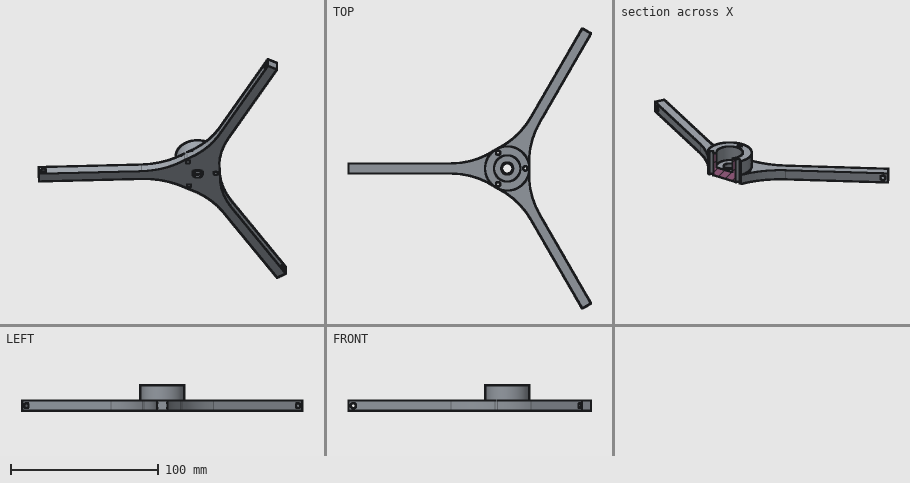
import cadquery as cq
import math

arm_count = 3
overall_span = 190.5
arm_width = 7.0
arm_height = 7.0
arm_step = 360 / arm_count
half_step = math.radians(arm_step / 2)
half_width = arm_width / 2
arm_length = (overall_span / 2 - half_width * math.cos(half_step)) / math.sin(half_step)

flare_start = 38.1

hub_diameter = 30.1
hub_radius = hub_diameter / 2
hub_height = 17.5
bore_diameter = 18.0
bore_floor = arm_height
seat_diameter = 8.2
seat_floor = arm_height / 2
shaft_diameter = 7.0

screw_diameter = 2.9
screw_circle_radius = 12.4
pin_diameter = 3.5
pin_tip_distance = 3.5

flare_radius = (flare_start**2 + half_width**2 - hub_radius**2) / (2 * (hub_radius - half_width))
flare_center_y = half_width + flare_radius
flare_angle = math.atan2(flare_center_y, flare_start)
flare_end = (hub_radius * math.cos(flare_angle), hub_radius * math.sin(flare_angle))


def flare_midpoint():
    """Point halfway along the flare arc on the +Y side of an arm along +X."""
    toward_hub = flare_angle + math.pi
    toward_arm = 1.5 * math.pi
    angle = (toward_hub + toward_arm) / 2
    return (
        flare_start + flare_radius * math.cos(angle),
        flare_center_y + flare_radius * math.sin(angle),
    )


def mirrored(point):
    """Reflect a point across the arm's centre line."""
    return (point[0], -point[1])


def make_arm(direction):
    """One flared arm with its cross pin hole, pointing at the given angle in degrees."""
    flare_mid = flare_midpoint()
    arm = (
        cq.Workplane("XY")
        .moveTo(*flare_end)
        .threePointArc(flare_mid, (flare_start, half_width))
        .lineTo(arm_length, half_width)
        .lineTo(arm_length, -half_width)
        .lineTo(flare_start, -half_width)
        .threePointArc(mirrored(flare_mid), mirrored(flare_end))
        .lineTo(0, 0)
        .close()
        .extrude(arm_height)
    )
    pin_hole = (
        cq.Workplane("XZ")
        .center(arm_length - pin_tip_distance, arm_height / 2)
        .circle(pin_diameter / 2)
        .extrude(arm_width, both=True)
    )
    return arm.cut(pin_hole).rotate((0, 0, 0), (0, 0, 1), direction)


def hole_above(floor, diameter):
    """Cutter on the hub axis, from the given floor up to the hub top."""
    return cq.Workplane("XY").workplane(offset=floor).circle(diameter / 2).extrude(hub_height - floor)


def cut_hub_holes(body):
    """Cut the stepped centre bore and the ring of through screw holes."""
    shaft_hole = hole_above(0, shaft_diameter)
    seat = hole_above(seat_floor, seat_diameter)
    bore = hole_above(bore_floor, bore_diameter)
    screw_holes = (
        cq.Workplane("XY")
        .polarArray(screw_circle_radius, 0, 360, arm_count)
        .circle(screw_diameter / 2)
        .extrude(hub_height)
    )
    return body.cut(shaft_hole).cut(seat).cut(bore).cut(screw_holes)


body = cq.Workplane("XY").circle(hub_radius).extrude(hub_height)
for index in range(arm_count):
    body = body.union(make_arm(180 + index * arm_step))

result = cut_hub_holes(body)